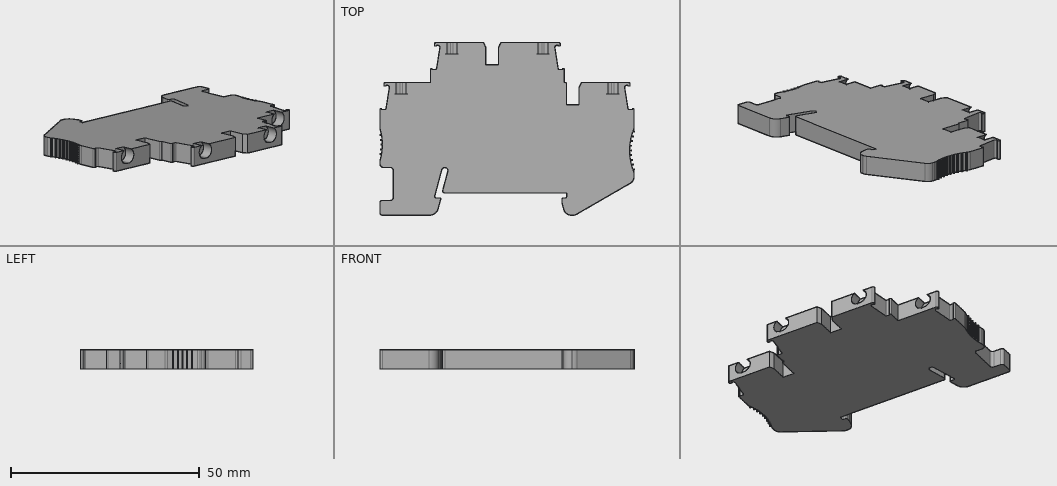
import cadquery as cq
import math

THICKNESS = 5.15
SHORTEST_LINE = 1e-6
WALL_X = 67.45
UPPER_LEFT_X = 13.4
UPPER_RIGHT_X = 48.95
LOWER_TOP_Y = 35.25
UPPER_TOP_Y = 45.85

LEDGE_V = -6.9
LEDGE_FLOOR_V = -7.15
LIP_WIDTH = 0.5
LIP_ROUND = 0.4
THROAT_BOTTOM_U = 1.6
THROAT_TOP_U = 2.6
THROAT_BOTTOM_ROUND = 0.25
THROAT_TOP_ROUND = 0.5
HOOK_UNDERSIDE_V = -0.8
HOOK_TIP_V = -1.0
HOOK_TIP_U = 1.07
BARB_WIDTH = 0.6
BARB_ROUND = 0.3
HOOK_NOSE_ROUND = 0.5

SLOT_WIDTH = 3.3
SLOT_DEPTH = 5.9
SLOT_LEAD_WIDTH = 0.65
SLOT_LEAD_DEPTH = 1.35
UPPER_SLOT_X = 28.15
LOWER_SLOT_X = 49.5
LOWER_SLOT_ROUND = 0.3

MARKER_OFFSET = 4.36
MARKER_WIDTH = 2.65
MARKER_LENGTH = 3.05
MARKER_FLOOR_WIDTH = 0.6
MARKER_RADIUS = 2.0

NOTCH_DEPTH = 3.55
NOTCH_TOP_Y = 12.65
NOTCH_BOTTOM_Y = 4.0
NOTCH_INNER_ROUND = 0.7
WALL_ROUND = 1.1
FOOT_ROUND = 0.7
LEAN = math.radians(15)
SPRING_SLOT_RADIUS = 0.8
SPRING_SLOT_X = 17.23
SPRING_SLOT_Y = NOTCH_TOP_Y - SPRING_SLOT_RADIUS
SLOT_MOUTH_ROUND = 0.6
RAIL_SEAT_Y = 5.9
JAW_SEAT_Y = 4.65
JAW_ROUND = 0.3
LEFT_JAW_X = 16.28
LEFT_JAW_ROUND = 2.5

RIGHT_SEAT_X = 49.5
RIGHT_JAW_X = 48.3
RIGHT_JAW_FLANK_Y = 3.2
RIGHT_JAW_ROUND = 2.2
RAMP_ANGLE = math.radians(30)
RAMP_BASE_X = 51.7
RAMP_TOP_ROUND = 2.1

GRIP_END_ROUND = 2.3
TOOTH_WIDTH = 0.25
TOOTH_PITCH = 1.25
LEFT_GRIP_Y = 18.75
LEFT_GRIP_CHORD = 8.6
LEFT_GRIP_DEPTH = 0.65
LEFT_TOOTH_COUNT = 5
LEFT_TOOTH_HEIGHT = 0.38
RIGHT_GRIP_Y = 17.2
RIGHT_GRIP_CHORD = 11.8
RIGHT_GRIP_DEPTH = 1.2
RIGHT_TOOTH_COUNT = 9
RIGHT_TIP_X = 67.58


def rounded_outline(corners):
    """Closed wire through (x, y, radius) corners, each rounded by a tangent arc."""
    spans = []
    for i, (x, y, radius) in enumerate(corners):
        corner = cq.Vector(x, y)
        to_last = (cq.Vector(*corners[i - 1][:2]) - corner).normalized()
        to_next = (cq.Vector(*corners[(i + 1) % len(corners)][:2]) - corner).normalized()
        half_angle = to_last.getAngle(to_next) / 2
        setback = radius / math.tan(half_angle)
        bisector = (to_last + to_next).normalized()
        middle = corner + bisector * (radius / math.sin(half_angle) - radius)
        spans.append((radius, corner + to_last * setback, middle, corner + to_next * setback))

    position = spans[0][3]
    path = cq.Workplane("XY").moveTo(position.x, position.y)
    for radius, start, middle, end in spans[1:] + spans[:1]:
        if (start - position).Length > SHORTEST_LINE:
            path = path.lineTo(start.x, start.y)
        position = end
        if radius > 0:
            path = path.threePointArc((middle.x, middle.y), (end.x, end.y))
    return path.close()


def hook(wall_x, top_y, inward):
    """Corners of a tier's end, from the ledge up to the tier top; inward is +1 or -1."""
    local = [
        (0, LEDGE_V, LIP_ROUND),
        (LIP_WIDTH, LEDGE_V, 0),
        (LIP_WIDTH, LEDGE_FLOOR_V, 0),
        (THROAT_BOTTOM_U, LEDGE_FLOOR_V, THROAT_BOTTOM_ROUND),
        (THROAT_TOP_U, HOOK_UNDERSIDE_V, THROAT_TOP_ROUND),
        (HOOK_TIP_U + BARB_WIDTH, HOOK_UNDERSIDE_V, 0),
        (HOOK_TIP_U + BARB_WIDTH, HOOK_TIP_V, 0),
        (HOOK_TIP_U, HOOK_TIP_V, BARB_ROUND),
        (HOOK_TIP_U, 0, HOOK_NOSE_ROUND),
    ]
    return [(wall_x + inward * u, top_y + v, radius) for u, v, radius in local]


def slot_left_lead(slot_x, top_y):
    return [
        (slot_x - SLOT_LEAD_WIDTH, top_y, 0),
        (slot_x, top_y - SLOT_LEAD_DEPTH, 0),
    ]


def slot_floor_and_right_lead(slot_x, top_y):
    right_x = slot_x + SLOT_WIDTH
    return [
        (slot_x, top_y - SLOT_DEPTH, 0),
        (right_x, top_y - SLOT_DEPTH, 0),
        (right_x, top_y - SLOT_LEAD_DEPTH, 0),
        (right_x + SLOT_LEAD_WIDTH, top_y, 0),
    ]


def top_corners():
    """Stepped top from the left wall to the right wall."""
    return (
        hook(0, LOWER_TOP_Y, 1)
        + [(UPPER_LEFT_X, LOWER_TOP_Y, 0)]
        + hook(UPPER_LEFT_X, UPPER_TOP_Y, 1)
        + slot_left_lead(UPPER_SLOT_X, UPPER_TOP_Y)
        + slot_floor_and_right_lead(UPPER_SLOT_X, UPPER_TOP_Y)
        + hook(UPPER_RIGHT_X, UPPER_TOP_Y, -1)[::-1]
        + [(UPPER_RIGHT_X, LOWER_TOP_Y, 0), (LOWER_SLOT_X, LOWER_TOP_Y, LOWER_SLOT_ROUND)]
        + slot_floor_and_right_lead(LOWER_SLOT_X, LOWER_TOP_Y)
        + hook(WALL_X, LOWER_TOP_Y, -1)[::-1]
    )


def right_foot_corners():
    """Ramp and right jaw, from the right wall to the rail seat."""
    flank_foot_x = RIGHT_JAW_X + RIGHT_JAW_FLANK_Y * math.tan(LEAN)
    ramp_top_y = (WALL_X - RAMP_BASE_X) * math.tan(RAMP_ANGLE)
    return [
        (WALL_X, ramp_top_y, RAMP_TOP_ROUND),
        (RAMP_BASE_X, 0, RIGHT_JAW_ROUND),
        (flank_foot_x, 0, RIGHT_JAW_ROUND),
        (RIGHT_JAW_X, RIGHT_JAW_FLANK_Y, 0),
        (RIGHT_JAW_X, JAW_SEAT_Y, JAW_ROUND),
        (RIGHT_SEAT_X, JAW_SEAT_Y, JAW_ROUND),
        (RIGHT_SEAT_X, RAIL_SEAT_Y, 0),
    ]


def left_foot_corners():
    """Left jaw and notch, from the rail seat to the left wall, with the spring slot between."""
    flank_foot_x = LEFT_JAW_X - JAW_SEAT_Y * math.tan(LEAN)
    slot_drop = SPRING_SLOT_Y - RAIL_SEAT_Y
    slot_half_width = SPRING_SLOT_RADIUS / math.cos(LEAN)
    slot_right_x = SPRING_SLOT_X + slot_half_width - slot_drop * math.tan(LEAN)
    cap_x = SPRING_SLOT_RADIUS * (math.cos(LEAN) + math.sin(LEAN))
    cap_y = SPRING_SLOT_RADIUS * (math.cos(LEAN) - math.sin(LEAN))
    left_flank_x = SPRING_SLOT_X - slot_half_width
    seat_inner_x = left_flank_x - (SPRING_SLOT_Y - JAW_SEAT_Y) * math.tan(LEAN)
    return [
        (slot_right_x, RAIL_SEAT_Y, SLOT_MOUTH_ROUND),
        (SPRING_SLOT_X + cap_x, SPRING_SLOT_Y + cap_y, SPRING_SLOT_RADIUS),
        (SPRING_SLOT_X - cap_y, SPRING_SLOT_Y + cap_x, SPRING_SLOT_RADIUS),
        (seat_inner_x, JAW_SEAT_Y, JAW_ROUND),
        (LEFT_JAW_X, JAW_SEAT_Y, JAW_ROUND),
        (flank_foot_x, 0, LEFT_JAW_ROUND),
        (0, 0, FOOT_ROUND),
        (0, NOTCH_BOTTOM_Y, FOOT_ROUND),
        (NOTCH_DEPTH, NOTCH_BOTTOM_Y, NOTCH_INNER_ROUND),
        (NOTCH_DEPTH, NOTCH_TOP_Y, NOTCH_INNER_ROUND),
        (0, NOTCH_TOP_Y, WALL_ROUND),
    ]


def grip_radius(chord, depth):
    return (chord ** 2 / 4 + depth ** 2) / (2 * depth)


def add_grip(body, wall_x, centre_y, outward, chord, depth, tooth_count, tooth_height):
    """Hollow a wall with a shallow arc and set a row of teeth on it; outward is +1 or -1."""
    radius = grip_radius(chord, depth)
    axis_x = wall_x + outward * (radius - depth)
    hollow = cq.Workplane("XY").center(axis_x, centre_y).circle(radius).extrude(THICKNESS)
    body = body.cut(hollow)
    for end_y in (centre_y - chord / 2, centre_y + chord / 2):
        end_edge = cq.selectors.NearestToPointSelector((wall_x, end_y, THICKNESS / 2))
        body = body.edges("|Z").edges(end_edge).fillet(GRIP_END_ROUND)
    for i in range(tooth_count):
        offset = (i - (tooth_count - 1) / 2) * TOOTH_PITCH
        surface_x = axis_x - outward * math.sqrt(radius ** 2 - offset ** 2)
        tooth = (
            cq.Workplane("XY")
            .center(surface_x, centre_y + offset)
            .rect(2 * tooth_height, TOOTH_WIDTH)
            .extrude(THICKNESS)
        )
        body = body.union(tooth)
    return body


def marker_groove(left_x, top_y):
    """Round-sided channel along y, open at the tier top and, more narrowly, at the broad face."""
    lip_offset = (MARKER_WIDTH - MARKER_FLOOR_WIDTH) / 2
    axis_depth = math.sqrt(MARKER_RADIUS ** 2 - lip_offset ** 2)
    return (
        cq.Workplane("XZ", origin=(left_x + MARKER_WIDTH / 2, top_y, THICKNESS - axis_depth))
        .slot2D(MARKER_FLOOR_WIDTH + 2 * MARKER_RADIUS, 2 * MARKER_RADIUS)
        .extrude(MARKER_LENGTH)
    )


body = rounded_outline(top_corners() + right_foot_corners() + left_foot_corners()).extrude(THICKNESS)

right_radius = grip_radius(RIGHT_GRIP_CHORD, RIGHT_GRIP_DEPTH)
right_end_offset = (RIGHT_TOOTH_COUNT - 1) / 2 * TOOTH_PITCH
right_end_rise = right_radius - math.sqrt(right_radius ** 2 - right_end_offset ** 2)
right_tooth_height = RIGHT_TIP_X - (WALL_X - RIGHT_GRIP_DEPTH + right_end_rise)

body = add_grip(
    body, 0, LEFT_GRIP_Y, -1, LEFT_GRIP_CHORD, LEFT_GRIP_DEPTH, LEFT_TOOTH_COUNT, LEFT_TOOTH_HEIGHT
)
body = add_grip(
    body, WALL_X, RIGHT_GRIP_Y, 1, RIGHT_GRIP_CHORD, RIGHT_GRIP_DEPTH, RIGHT_TOOTH_COUNT, right_tooth_height
)

for wall_x, top_y in ((0, LOWER_TOP_Y), (UPPER_LEFT_X, UPPER_TOP_Y)):
    body = body.cut(marker_groove(wall_x + MARKER_OFFSET, top_y))
for wall_x, top_y in ((UPPER_RIGHT_X, UPPER_TOP_Y), (WALL_X, LOWER_TOP_Y)):
    body = body.cut(marker_groove(wall_x - MARKER_OFFSET - MARKER_WIDTH, top_y))

result = body